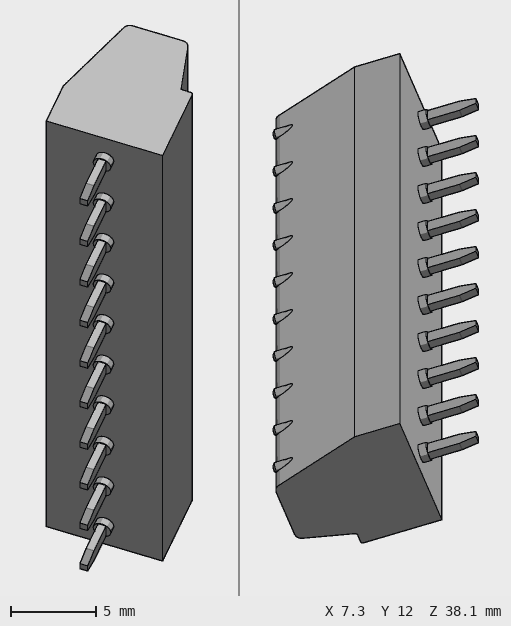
import cadquery as cq

width = 7.3
length = 38.1
depth = 8.5
side_height = 2.82
slope_back_x = -1.8
step_y = 5.03
step_x = 2.9
incline_back_x = 2.05
back_radius = 0.45
ledge_radius = 0.15

contact_count = 10
pitch = length / contact_count
contact_x = 0.05

collar_diameter = 1.1
collar_length = 0.5
pin_reach = 3.5
pin_thickness = 0.5
pin_width = 0.95
tip_width = 0.5
tip_length = 1.03

stud_diameter = 0.7
stud_left_x = -2.2
stud_length = 1.9
stud_chamfer = 0.15


def make_housing():
    half_width = width / 2
    outline = [
        (-half_width, 0),
        (half_width, 0),
        (half_width, step_y),
        (step_x, step_y),
        (incline_back_x, depth),
        (slope_back_x, depth),
        (-half_width, side_height),
    ]
    housing = cq.Workplane("XY").polyline(outline).close().extrude(length / 2, both=True)
    housing = housing.faces(">Y").edges("|Z").fillet(back_radius)
    around_ledge = ledge_radius / 2
    ledge_edges = cq.selectors.BoxSelector(
        (step_x - around_ledge, step_y - around_ledge, -length),
        (half_width + around_ledge, step_y + around_ledge, length),
    )
    return housing.edges("|Z").edges(ledge_edges).fillet(ledge_radius)


def make_pin():
    """Collar and flat tapered blade pointing along -Y, centred on Z = 0."""
    collar = cq.Workplane("XZ").circle(collar_diameter / 2).extrude(collar_length)
    taper_y = tip_length - pin_reach
    blade = (
        cq.Workplane("YZ")
        .polyline([
            (0, -pin_width / 2),
            (taper_y, -pin_width / 2),
            (-pin_reach, -tip_width / 2),
            (-pin_reach, tip_width / 2),
            (taper_y, pin_width / 2),
            (0, pin_width / 2),
        ])
        .close()
        .extrude(pin_thickness / 2, both=True)
    )
    return collar.union(blade).translate((contact_x, 0, 0))


def make_stud():
    """Round stud along Y with a chamfered end at the back face."""
    stud = cq.Workplane("XZ").circle(stud_diameter / 2).extrude(stud_length)
    stud = stud.faces(">Y").chamfer(stud_chamfer)
    return stud.translate((stud_left_x + stud_diameter / 2, depth, 0))


result = make_housing()
for index in range(contact_count):
    contact_z = (index - (contact_count - 1) / 2) * pitch
    result = result.union(make_pin().translate((0, 0, contact_z)))
    result = result.union(make_stud().translate((0, 0, contact_z)))